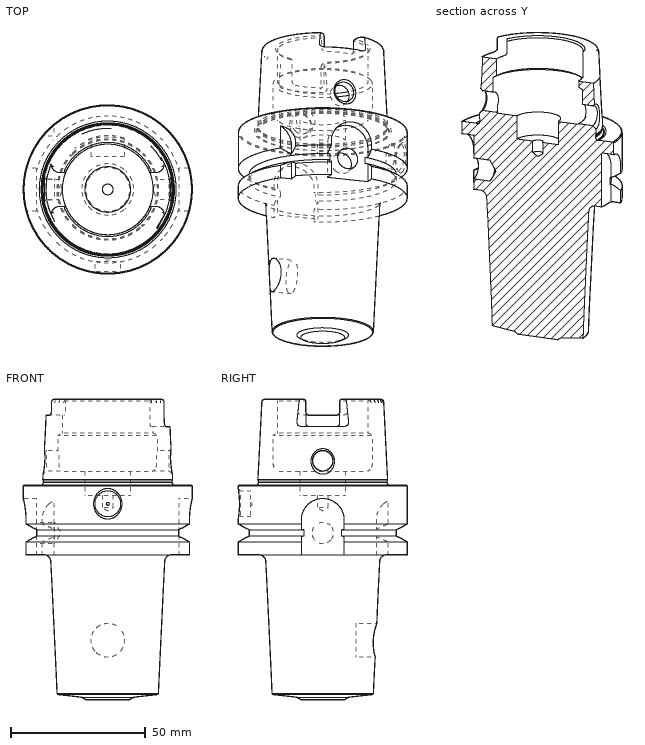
import cadquery as cq
import math

total_height = 111.9
flange_top_z = 79.9
flange_height = 26.0
flange_bottom_z = flange_top_z - flange_height
grip_groove_z = 62.1
body_shoulder_z = 51.5

flange_radius = 31.5
flange_rim_chamfer = 0.3
groove_mouth_half_height = 3.4
groove_break_radius = 29.0
groove_break_half_height = 1.85
groove_floor_radius = 27.4
groove_floor_half_height = 1.17

taper_slope = 0.05
taper_top_radius = 22.7
taper_base_z = 82.0
taper_base_radius = taper_top_radius + taper_slope * (total_height - taper_base_z)
undercut_radius = taper_base_radius - 0.2
undercut_top_z = 81.4
undercut_bottom_z = 80.8
undercut_foot_radius = 24.5
face_relief_depth = 0.2
face_relief_inner_radius = 24.8
face_relief_outer_radius = 25.5
rim_fillet = 1.2

body_top_radius = 21.3
body_bottom_radius = 18.9
body_bottom_z = 2.2
body_edge_chamfer = 0.3
neck_fillet = 2.5
nose_outer_radius = 9.6
nose_outer_z = 0.9
nose_tip_radius = 8.2

bore_radius = 16.9
bore_mouth_chamfer = 0.7
bore_shoulder_z = 99.4
bore_shoulder_angle = 60.0
chamber_radius = 18.5
chamber_floor_z = 84.9
chamber_floor_fillet = 2.7
seat_radius = 8.5
seat_depth = 9.0
center_hole_radius = 2.0
center_hole_depth = 4.5
drill_point_angle = 118.0

drive_slot_half_width = 6.3
drive_slot_straight_end_x = 17.8
drive_slot_flare_radius = 3.2
drive_slot_floor_fillet = 1.2
drive_slot_mouth_fillet = 1.0
shallow_drive_slot_floor_z = 106.0
deep_drive_slot_floor_z = 101.7

cross_hole_z = 89.0
cross_hole_radius = 3.75
cross_hole_chamfer = 1.0

keyway_half_width = 8.0
keyway_arc_z = 66.9
keyway_floor_x = 26.5
notch_center_y = 27.92
notch_floor_x = 20.0
keyway_hole_radius = 3.97
keyway_hole_depth = 6.7

side_pocket_z = 73.0
side_pocket_radius = 4.8
side_pocket_depth = 4.6
side_pocket_chamfer = 0.9
side_pocket_dimple_radius = 0.6
side_pocket_dimple_depth = 0.6

screw_hole_z = 22.2
screw_hole_radius = 6.3
screw_hole_depth = 9.0

CLEARANCE = 11.2
SEAM_ANGLE = 45.0
SELECTION_MARGIN = 0.1
X_AXIS = cq.Vector(1, 0, 0)
Y_AXIS = cq.Vector(0, 1, 0)
Z_AXIS = cq.Vector(0, 0, 1)


def cylinder(radius, length, start, direction):
    return cq.Workplane(cq.Solid.makeCylinder(radius, length, cq.Vector(*start), direction))


def cone(start_radius, end_radius, length, start, direction):
    return cq.Workplane(cq.Solid.makeCone(start_radius, end_radius, length, cq.Vector(*start), direction))


def drilled_hole(radius, depth, start, direction):
    """Blind hole whose straight wall ends in a conical drill point."""
    tip_length = radius / math.tan(math.radians(drill_point_angle / 2))
    wall_end = cq.Vector(*start) + direction * depth
    tip = cone(radius, 0, tip_length, wall_end.toTuple(), direction)
    return cylinder(radius, depth, start, direction).union(tip)


def turn_about_axis(profile):
    """Revolve a half-profile about Z, with the seam turned clear of the cut features."""
    turned = profile.revolve(360, (0, 0, 0), (0, 1, 0))
    return turned.rotate((0, 0, 0), (0, 0, 1), SEAM_ANGLE)


def turned_body():
    """Outer shape as one revolved half-profile of (radius, height) points."""
    profile = (
        cq.Workplane("XZ")
        .moveTo(0, 0)
        .lineTo(nose_tip_radius, 0)
        .lineTo(nose_outer_radius, nose_outer_z)
        .lineTo(body_bottom_radius - body_edge_chamfer, body_bottom_z - body_edge_chamfer)
        .lineTo(body_bottom_radius, body_bottom_z)
        .lineTo(body_top_radius, body_shoulder_z)
        .radiusArc((body_top_radius + neck_fillet, flange_bottom_z), neck_fillet)
        .lineTo(flange_radius, flange_bottom_z)
        .lineTo(flange_radius, grip_groove_z - groove_mouth_half_height)
        .lineTo(groove_break_radius, grip_groove_z - groove_break_half_height)
        .lineTo(groove_floor_radius, grip_groove_z - groove_floor_half_height)
        .lineTo(groove_floor_radius, grip_groove_z + groove_floor_half_height)
        .lineTo(groove_break_radius, grip_groove_z + groove_break_half_height)
        .lineTo(flange_radius, grip_groove_z + groove_mouth_half_height)
        .lineTo(flange_radius, flange_top_z - flange_rim_chamfer)
        .lineTo(flange_radius - flange_rim_chamfer, flange_top_z)
        .lineTo(face_relief_outer_radius, flange_top_z)
        .lineTo(face_relief_inner_radius, flange_top_z - face_relief_depth)
        .lineTo(undercut_foot_radius, flange_top_z - face_relief_depth)
        .lineTo(undercut_radius, undercut_bottom_z)
        .lineTo(undercut_radius, undercut_top_z)
        .lineTo(taper_base_radius, taper_base_z)
        .lineTo(taper_top_radius, total_height)
        .lineTo(0, total_height)
        .close()
    )
    return turn_about_axis(profile)


def bore():
    """Bore with a chamfered mouth and a wider chamber, then a seat and a drilled centre below."""
    shoulder_drop = (chamber_radius - bore_radius) / math.tan(math.radians(bore_shoulder_angle))
    profile = (
        cq.Workplane("XZ")
        .moveTo(0, chamber_floor_z)
        .lineTo(chamber_radius, chamber_floor_z)
        .lineTo(chamber_radius, bore_shoulder_z - shoulder_drop)
        .lineTo(bore_radius, bore_shoulder_z)
        .lineTo(bore_radius, total_height - bore_mouth_chamfer)
        .lineTo(bore_radius + bore_mouth_chamfer, total_height)
        .lineTo(0, total_height)
        .close()
    )
    main = turn_about_axis(profile)
    main = main.faces("<Z").edges().fillet(chamber_floor_fillet)
    seat_floor_z = chamber_floor_z - seat_depth
    seat = cylinder(seat_radius, seat_depth, (0, 0, seat_floor_z), Z_AXIS)
    center_hole = drilled_hole(center_hole_radius, center_hole_depth, (0, 0, seat_floor_z), -Z_AXIS)
    return main.union(seat).union(center_hole)


def drive_slot(side, floor_z):
    """Slot across the rim on the +X (side = 1) or -X (side = -1) side, flaring outward."""
    inner_x = side * drive_slot_straight_end_x
    flare_x = inner_x + side * drive_slot_flare_radius
    flare_y = drive_slot_half_width + drive_slot_flare_radius
    outer_x = taper_base_radius + CLEARANCE
    turn = side * drive_slot_flare_radius
    plan = (
        cq.Workplane("XY")
        .workplane(offset=floor_z)
        .moveTo(0, -drive_slot_half_width)
        .lineTo(inner_x, -drive_slot_half_width)
        .radiusArc((flare_x, -flare_y), turn)
        .lineTo(side * outer_x, -flare_y)
        .lineTo(side * outer_x, flare_y)
        .lineTo(flare_x, flare_y)
        .radiusArc((inner_x, drive_slot_half_width), turn)
        .lineTo(0, drive_slot_half_width)
        .close()
    )
    slot = plan.extrude(total_height - floor_z)
    slot = slot.faces("<Z").edges().fillet(drive_slot_floor_fillet)
    slab_width = 2 * (flare_y + CLEARANCE)
    slab = cq.Workplane("XY").box(outer_x, slab_width, CLEARANCE).translate(
        (side * outer_x / 2, 0, total_height + CLEARANCE / 2)
    )
    mouth_edges = cq.selectors.BoxSelector(
        (side * SELECTION_MARGIN, -slab_width / 2, total_height - SELECTION_MARGIN),
        (side * (outer_x - SELECTION_MARGIN), slab_width / 2, total_height + SELECTION_MARGIN),
    )
    return slot.union(slab).edges(mouth_edges).fillet(drive_slot_mouth_fillet)


def cross_hole():
    """Hole along X through both taper walls, countersunk outside at 45 degrees."""
    wall_radius = taper_top_radius + taper_slope * (total_height - cross_hole_z)
    sink_start_x = wall_radius - cross_hole_chamfer
    sink_length = 2 * cross_hole_chamfer
    sink_end_x = sink_start_x + sink_length
    sink_radius = cross_hole_radius + sink_length
    profile = (
        cq.Workplane("XY")
        .workplane(offset=cross_hole_z)
        .moveTo(-sink_end_x, 0)
        .lineTo(-sink_end_x, sink_radius)
        .lineTo(-sink_start_x, cross_hole_radius)
        .lineTo(sink_start_x, cross_hole_radius)
        .lineTo(sink_end_x, sink_radius)
        .lineTo(sink_end_x, 0)
        .close()
    )
    return profile.revolve(360, (0, 0, 0), (1, 0, 0))


def keyway(side, floor_x, center_y):
    """Round-topped keyway, open below, cut inward along X to a flat floor."""
    depth = flange_radius + CLEARANCE - floor_x
    top = cylinder(keyway_half_width, depth, (side * floor_x, center_y, keyway_arc_z), X_AXIS * side)
    leg_height = keyway_arc_z - flange_bottom_z
    leg = cq.Workplane("XY").box(depth, 2 * keyway_half_width, leg_height).translate(
        (side * (floor_x + depth / 2), center_y, flange_bottom_z + leg_height / 2)
    )
    return top.union(leg)


def side_pocket():
    """Flat-floored round pocket entering the flange from -Y, with a chamfered mouth and a dimple."""
    floor_y = side_pocket_depth - flange_radius
    pocket = cylinder(side_pocket_radius, side_pocket_depth, (0, floor_y, side_pocket_z), -Y_AXIS)
    mouth_radius = side_pocket_radius + side_pocket_chamfer
    mouth_start = (0, side_pocket_chamfer - flange_radius, side_pocket_z)
    mouth = cone(side_pocket_radius, mouth_radius, side_pocket_chamfer, mouth_start, -Y_AXIS)
    dimple = cylinder(side_pocket_dimple_radius, side_pocket_dimple_depth, (0, floor_y, side_pocket_z), Y_AXIS)
    return pocket.union(mouth).union(dimple)


def screw_hole():
    """Blind hole entering the lower body from +Y."""
    start = (0, body_top_radius - screw_hole_depth, screw_hole_z)
    return cylinder(screw_hole_radius, screw_hole_depth + CLEARANCE, start, Y_AXIS)


holder = turned_body().faces(">Z").edges().fillet(rim_fillet)
holder = holder.cut(drive_slot(-1, shallow_drive_slot_floor_z))
holder = holder.cut(drive_slot(1, deep_drive_slot_floor_z))
holder = holder.cut(bore())
holder = holder.cut(cross_hole())
for side in (-1, 1):
    holder = holder.cut(keyway(side, keyway_floor_x, 0))
holder = holder.cut(keyway(-1, notch_floor_x, notch_center_y))
keyway_hole_start = (-keyway_floor_x, 0, grip_groove_z)
holder = holder.cut(drilled_hole(keyway_hole_radius, keyway_hole_depth, keyway_hole_start, X_AXIS))
holder = holder.cut(side_pocket())
holder = holder.cut(screw_hole())
result = holder